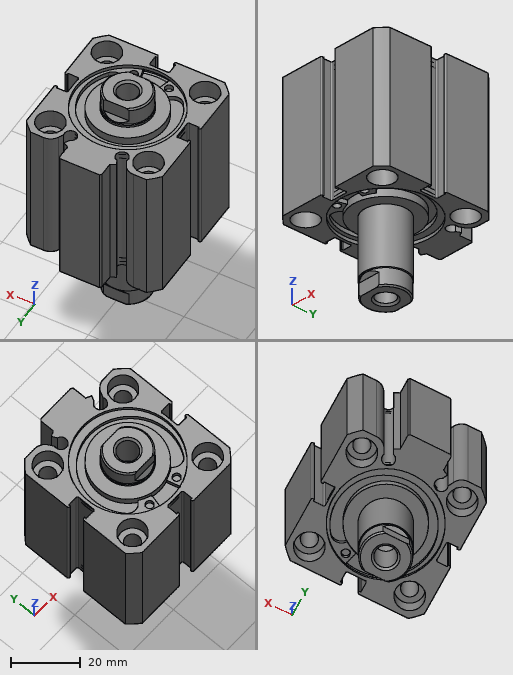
import cadquery as cq
import math


body_width = 45.0
body_length = 46.0
corner_radius = 29.5
half_width = body_width / 2
middle = body_length / 2

rail_width = 14.0
rail_top = 27.5
rail_chamfer = 0.5

sensor_groove_x = 8.5
sensor_groove_y = 18.0
sensor_groove_radius = 2.0
sensor_mouth_width = 2.8
sensor_mouth_tilt = 26.5
sensor_mouth_depth = 3.2
sensor_mouth_round = 4.0

slot_mouth_width = 5.4
slot_width = 6.6
slot_lip = 0.9
slot_floor = 18.0
slot_floor_fillet = 0.5
slot_lip_fillet = 0.5

bolt_spacing = 32.4
bolt_diameter = 5.2
counterbore_diameter = 9.0
counterbore_depth = 6.2

bore_radius = 17.0
ring_groove_radius = 17.85
ring_thickness = 1.5
ring_inset = 1.2

cover_hub_radius = 12.25
cover_plate_thickness = 7.0
ring_top = body_length - ring_inset
cover_seat = ring_top - ring_thickness

ring_inner_radius = 15.5
ring_inner_offset = 1.06
ring_gap_half_angle = 14.9
ring_lug_radius = 12.4
ring_fillet_radius = 3.2
ring_fillet_angle = 53.0
ring_hole_diameter = 2.6
ring_hole_radius = 14.75
ring_hole_angle = 23.3

rod_diameter = 16.0
rod_end_diameter = 15.5
rod_end_length = 6.0
rod_step_chamfer = 0.25
rod_end_chamfer = 0.5
rod_projection = 7.0
rod_stroke = 20.0
rod_flats = 13.0
rod_flat_length = 4.65
thread_hole_diameter = 6.8
thread_hole_mouth = 8.2
thread_hole_depth = 14.0
thread_point_angle = 118.0


def polar_from_minus_y(radius, degrees):
    """Point at a radius from the axis, turned from -Y towards +X."""
    angle = math.radians(degrees)
    return radius * math.sin(angle), -radius * math.cos(angle)


def mirrored_to_bottom(shape):
    """Copy of an end feature at the other end of the housing."""
    return shape.mirror("XY", (0, 0, middle))


def t_slot(turn):
    """Cutter for the T slot of the -Y face, turned about the axis."""
    depth = half_width - slot_floor
    cavity_depth = depth - slot_lip
    cavity = (
        cq.Workplane("XY")
        .center(0, -slot_floor - cavity_depth / 2)
        .rect(slot_width, cavity_depth)
        .extrude(body_length)
        .edges("|Z and >Y")
        .fillet(slot_floor_fillet)
    )
    mouth_half = slot_mouth_width / 2
    flare_half = mouth_half + slot_lip_fillet
    flare_start = -half_width + slot_lip_fillet
    bulge = slot_lip_fillet * (1 - math.sqrt(0.5))
    mouth = (
        cq.Workplane("XY")
        .moveTo(-mouth_half, -slot_floor - cavity_depth / 2)
        .lineTo(-mouth_half, flare_start)
        .threePointArc((-mouth_half - bulge, -half_width + bulge), (-flare_half, -half_width))
        .lineTo(flare_half, -half_width)
        .threePointArc((mouth_half + bulge, -half_width + bulge), (mouth_half, flare_start))
        .lineTo(mouth_half, -slot_floor - cavity_depth / 2)
        .close()
        .extrude(body_length)
    )
    return cavity.union(mouth).rotate((0, 0, 0), (0, 0, 1), turn)


def sensor_groove():
    """Cutter for the groove on the -X side of the rail, with its rounded mouth."""
    tilt = math.radians(sensor_mouth_tilt)
    along = (-math.sin(tilt), math.cos(tilt))
    across = (math.cos(tilt), math.sin(tilt))

    def at(outward, sideways):
        return (
            -sensor_groove_x + outward * along[0] + sideways * across[0],
            sensor_groove_y + outward * along[1] + sideways * across[1],
        )

    half_mouth = sensor_mouth_width / 2
    shoulder = at(sensor_mouth_depth, half_mouth)
    shoulder_run = (-rail_width / 2 - shoulder[0]) / across[0]
    rail_root = at(sensor_mouth_depth, half_mouth + shoulder_run)

    wall_foot = at(0, -half_mouth)
    wall_rise = (half_width - wall_foot[1]) / along[1]
    corner_x = at(wall_rise, -half_mouth)[0]
    turn = math.pi / 2 - tilt
    tangent_length = sensor_mouth_round * math.tan(turn / 2)
    round_start = at(wall_rise - tangent_length, -half_mouth)
    round_end = (corner_x - tangent_length, half_width)
    round_centre = (round_end[0], half_width - sensor_mouth_round)
    mid_angle = math.pi / 2 - turn / 2
    round_middle = (
        round_centre[0] + sensor_mouth_round * math.cos(mid_angle),
        round_centre[1] + sensor_mouth_round * math.sin(mid_angle),
    )

    mouth = (
        cq.Workplane("XY")
        .moveTo(*at(0, half_mouth))
        .lineTo(*shoulder)
        .lineTo(*rail_root)
        .lineTo(-rail_width / 2, rail_top)
        .lineTo(round_end[0], rail_top)
        .lineTo(*round_end)
        .threePointArc(round_middle, round_start)
        .lineTo(*wall_foot)
        .close()
        .extrude(body_length)
    )
    bottom = (
        cq.Workplane("XY")
        .center(-sensor_groove_x, sensor_groove_y)
        .circle(sensor_groove_radius)
        .extrude(body_length)
    )
    return mouth.union(bottom)


def make_housing():
    square = cq.Workplane("XY").rect(body_width, body_width).extrude(body_length)
    turned = cq.Workplane("XY").circle(corner_radius).extrude(body_length)
    body = square.intersect(turned)

    groove_span = 2 * (sensor_groove_x + sensor_groove_radius)
    rail = (
        cq.Workplane("XY")
        .center(0, (sensor_groove_y + rail_top) / 2)
        .rect(groove_span, rail_top - sensor_groove_y)
        .extrude(body_length)
    )
    body = body.union(rail)
    groove = sensor_groove()
    body = body.cut(groove).cut(groove.mirror("YZ"))
    body = body.edges("|Z and >Y").chamfer(rail_chamfer)

    for turn in (-90, 0, 90):
        body = body.cut(t_slot(turn))

    bolts = cq.Workplane("XY").rect(bolt_spacing, bolt_spacing, forConstruction=True).vertices()
    body = body.cut(bolts.circle(bolt_diameter / 2).extrude(body_length))
    counterbore = bolts.circle(counterbore_diameter / 2).extrude(counterbore_depth)
    body = body.cut(counterbore).cut(mirrored_to_bottom(counterbore))

    body = body.cut(cq.Workplane("XY").circle(bore_radius).extrude(body_length))
    ring_groove = (
        cq.Workplane("XY")
        .workplane(offset=cover_seat)
        .circle(ring_groove_radius)
        .extrude(ring_thickness)
    )
    return body.cut(ring_groove).cut(mirrored_to_bottom(ring_groove))


def make_cover():
    """Upper end cover: a plate in the bore with a hub flush with the end face."""
    plate = (
        cq.Workplane("XY")
        .workplane(offset=cover_seat - cover_plate_thickness)
        .circle(bore_radius)
        .extrude(cover_plate_thickness)
    )
    hub = (
        cq.Workplane("XY")
        .workplane(offset=cover_seat)
        .circle(cover_hub_radius)
        .extrude(body_length - cover_seat)
    )
    rod_hole = cq.Workplane("XY").circle(rod_diameter / 2).extrude(body_length)
    return plate.union(hub).cut(rod_hole)


def make_ring():
    """Upper retaining ring: eccentric inner edge, two lugs and a gap at -Y."""
    inner_top = (0, ring_inner_radius - ring_inner_offset)
    direction = polar_from_minus_y(1, ring_fillet_angle)

    reach = ring_inner_radius - ring_fillet_radius
    fillet_x = reach * direction[0]
    fillet_y = reach * direction[1] - ring_inner_offset
    fillet_start = (
        ring_inner_radius * direction[0],
        ring_inner_radius * direction[1] - ring_inner_offset,
    )

    distance = math.hypot(fillet_x, fillet_y)
    spread_cosine = (distance**2 + ring_lug_radius**2 - ring_fillet_radius**2) / (
        2 * distance * ring_lug_radius
    )
    fillet_polar = math.degrees(math.atan2(fillet_x, -fillet_y))
    lug_angle = fillet_polar - math.degrees(math.acos(spread_cosine))
    lug_corner = polar_from_minus_y(ring_lug_radius, lug_angle)
    fillet_low = (fillet_x, fillet_y - ring_fillet_radius)

    lug_middle = polar_from_minus_y(ring_lug_radius, (lug_angle + ring_gap_half_angle) / 2)
    gap_inner = polar_from_minus_y(ring_lug_radius, ring_gap_half_angle)
    gap_outer = polar_from_minus_y(ring_groove_radius, ring_gap_half_angle)
    inner_side = (ring_inner_radius, -ring_inner_offset)

    def opposite(point):
        return -point[0], point[1]

    ring = (
        cq.Workplane("XY")
        .workplane(offset=cover_seat)
        .moveTo(*inner_top)
        .threePointArc(inner_side, fillet_start)
        .threePointArc(fillet_low, lug_corner)
        .threePointArc(lug_middle, gap_inner)
        .lineTo(*gap_outer)
        .threePointArc((0, ring_groove_radius), opposite(gap_outer))
        .lineTo(*opposite(gap_inner))
        .threePointArc(opposite(lug_middle), opposite(lug_corner))
        .threePointArc(opposite(fillet_low), opposite(fillet_start))
        .threePointArc(opposite(inner_side), inner_top)
        .close()
        .extrude(ring_thickness)
    )
    hole = polar_from_minus_y(ring_hole_radius, ring_hole_angle)
    holes = (
        cq.Workplane("XY")
        .workplane(offset=cover_seat)
        .pushPoints([hole, opposite(hole)])
        .circle(ring_hole_diameter / 2)
        .extrude(ring_thickness)
    )
    return ring.cut(holes)


def make_rod():
    top = body_length + rod_projection
    bottom = -rod_projection - rod_stroke
    rod_middle = (top + bottom) / 2
    radius = rod_diameter / 2
    end_radius = rod_end_diameter / 2
    step = top - rod_end_length

    hole_radius = thread_hole_diameter / 2
    mouth_radius = thread_hole_mouth / 2
    point_length = hole_radius / math.tan(math.radians(thread_point_angle / 2))

    half = (
        cq.Workplane("XZ")
        .moveTo(0, rod_middle)
        .lineTo(radius, rod_middle)
        .lineTo(radius, step - rod_step_chamfer)
        .lineTo(end_radius, step)
        .lineTo(end_radius, top - rod_end_chamfer)
        .lineTo(end_radius - rod_end_chamfer, top)
        .lineTo(mouth_radius, top)
        .lineTo(hole_radius, top - (mouth_radius - hole_radius))
        .lineTo(hole_radius, top - thread_hole_depth)
        .lineTo(0, top - thread_hole_depth - point_length)
        .close()
        .revolve(360, (0, 0, 0), (0, 1, 0))
    )

    flat_y = rod_flats / 2
    flat_end = top - rod_flat_length
    flat = (
        cq.Workplane("YZ")
        .moveTo(flat_y, top)
        .lineTo(flat_y, flat_end)
        .lineTo(rod_diameter, flat_end - (rod_diameter - flat_y))
        .lineTo(rod_diameter, top)
        .close()
        .extrude(radius, both=True)
    )
    half = half.cut(flat).cut(flat.mirror("XZ"))
    return half.union(half.mirror("XY", (0, 0, rod_middle)))


housing = make_housing()
rod = make_rod()
upper_cover = make_cover()
upper_ring = make_ring()
covers = [upper_cover, mirrored_to_bottom(upper_cover)]
rings = [upper_ring, mirrored_to_bottom(upper_ring)]

result = cq.Compound.makeCompound(
    [housing.val(), rod.val()]
    + [cover.val() for cover in covers]
    + [ring.val() for ring in rings]
)